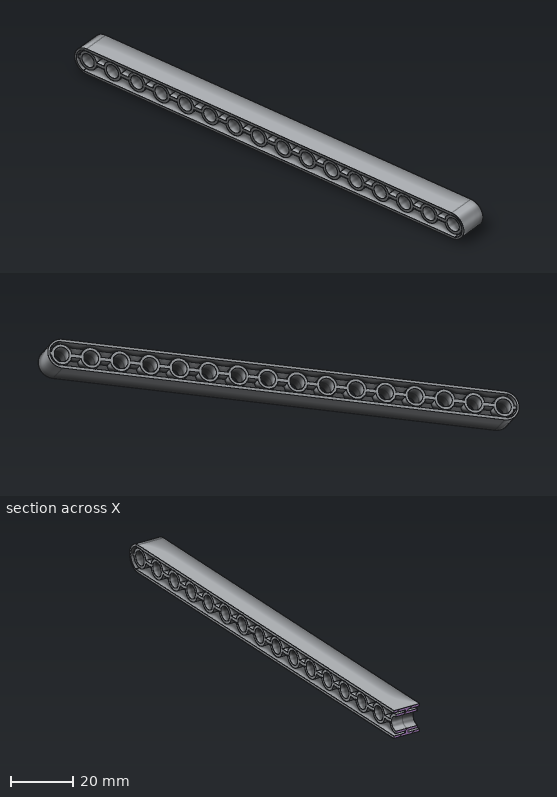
import cadquery as cq

length = 160.0
hole_count = 16
side_wall = 1.0
end_wall = 0.8
boss_wall = 1.0
rib_thickness = 1.2
web_setback = 0.8
pocket_depth = 4.5

pitch = length / hole_count
height = pitch
depth = pitch
hole_diameter = pitch / 2
boss_diameter = hole_diameter + 2 * boss_wall
hole_span = length - pitch
hole_positions = [(i * pitch - hole_span / 2, 0) for i in range(hole_count)]

web_depth = depth - 2 * web_setback
floor_thickness = depth - 2 * pocket_depth


def rounded_bar(bar_height):
    """Full-depth bar along X, its round ends centred on the outermost holes."""
    return (
        cq.Workplane("XZ")
        .slot2D(hole_span + bar_height, bar_height)
        .extrude(depth / 2, both=True)
    )


def cylinders(diameter, cylinder_depth):
    """Cylinders along Y at every hole position."""
    return (
        cq.Workplane("XZ")
        .pushPoints(hole_positions)
        .circle(diameter / 2)
        .extrude(cylinder_depth / 2, both=True)
    )


def inner_space():
    """Space inside the rim, bounded by flat side walls and round end walls."""
    between_side_walls = cq.Workplane("XY").box(length, depth, height - 2 * side_wall)
    return rounded_bar(height - 2 * end_wall).intersect(between_side_walls)


def web():
    """Material kept inside the rim: mid-depth floor, central rib and hole bosses."""
    floor = cq.Workplane("XY").box(length, floor_thickness, height)
    rib = cq.Workplane("XY").box(length, web_depth, rib_thickness)
    bosses = cylinders(boss_diameter, web_depth)
    return floor.union(rib).union(bosses)


pockets = inner_space().cut(web())
holes = cylinders(hole_diameter, depth)
result = rounded_bar(height).cut(pockets).cut(holes)